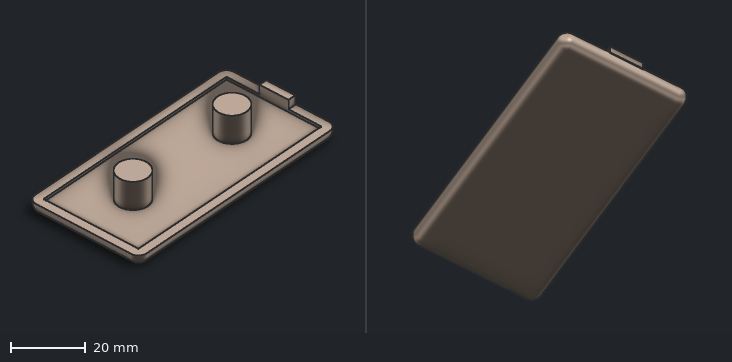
import cadquery as cq

width = 40.0
length = 80.0
plate_height = 4.0
edge_radius = 3.0

rim_width = 3.0
recess_depth = 1.0

pin_diameter = 10.4
pin_spacing = length / 2
total_height = 12.5

tab_width = pin_diameter
tab_height = 3.1
tab_setback = 0.2

recess_floor = plate_height - recess_depth


def make_plate():
    plate = cq.Workplane("XY").box(width, length, plate_height, centered=(True, True, False))
    plate = plate.edges("|Z").fillet(edge_radius)
    plate = plate.faces("<Z").edges().fillet(edge_radius)
    recess = (
        cq.Workplane("XY", origin=(0, 0, recess_floor))
        .rect(width - 2 * rim_width, length - 2 * rim_width)
        .extrude(recess_depth)
    )
    return plate.cut(recess)


def make_pins():
    return (
        cq.Workplane("XY", origin=(0, 0, recess_floor))
        .pushPoints([(0, -pin_spacing / 2), (0, pin_spacing / 2)])
        .circle(pin_diameter / 2)
        .extrude(total_height - recess_floor)
    )


def make_tab():
    tab_depth = rim_width - tab_setback
    tab_center_y = length / 2 - tab_setback - tab_depth / 2
    return (
        cq.Workplane("XY", origin=(0, tab_center_y, recess_floor))
        .rect(tab_width, tab_depth)
        .extrude(recess_depth + tab_height)
    )


result = make_plate().union(make_pins()).union(make_tab())